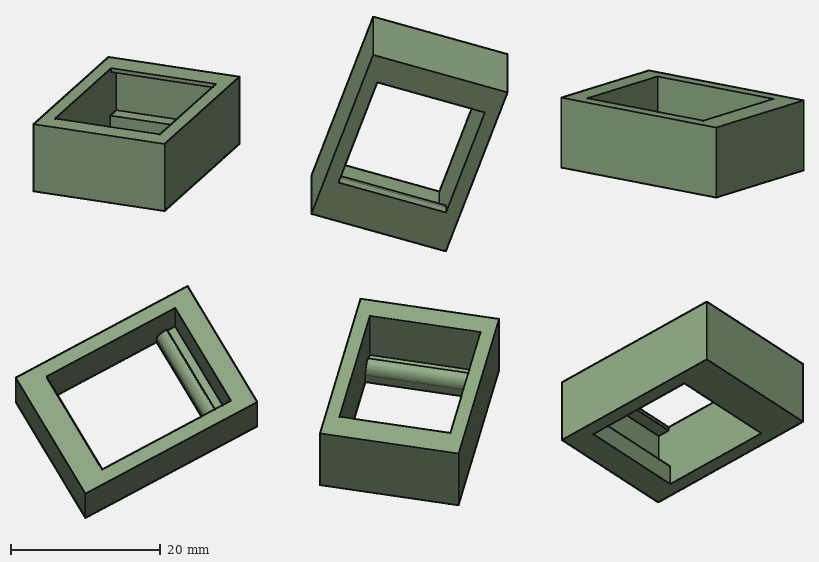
import cadquery as cq

width = 19.0
length = 26.5
height = 9.7

side_wall = 1.9
opening_width = width - 2 * side_wall
opening_back = 9.57
opening_front = -10.25

ledge_height = 2.97
back_ledge_edge = 9.28

top_plate = 0.55
recess_back = 11.4

lip_radius = 1.6
lip_edge = -7.4
lip_back = lip_edge - lip_radius
groove_depth = 0.58
groove_floor = ledge_height - groove_depth


def cavity_profile():
    """Y-Z outline of the empty space inside the frame, bottom face at Z = 0."""
    recess_top = height - top_plate
    return (
        cq.Workplane("YZ")
        .moveTo(lip_edge, 0)
        .lineTo(back_ledge_edge, 0)
        .lineTo(back_ledge_edge, ledge_height)
        .lineTo(recess_back, ledge_height)
        .lineTo(recess_back, recess_top)
        .lineTo(opening_back, recess_top)
        .lineTo(opening_back, height)
        .lineTo(opening_front, height)
        .lineTo(opening_front, groove_floor)
        .lineTo(lip_back, groove_floor)
        .lineTo(lip_back, ledge_height)
        .radiusArc((lip_edge, ledge_height - lip_radius), lip_radius)
        .close()
    )


block = cq.Workplane("XY").box(width, length, height, centered=(True, True, False))
cavity = cavity_profile().extrude(opening_width / 2, both=True)

result = block.cut(cavity)